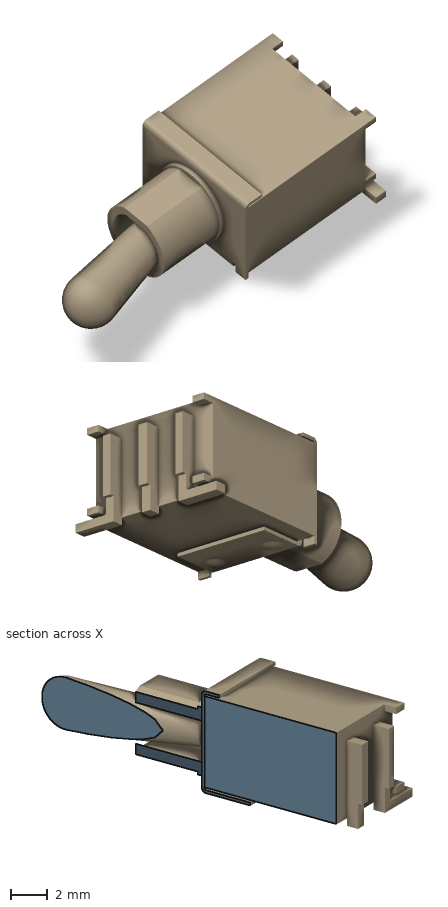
import cadquery as cq
import math


body_width = 8.2
body_top = 2.75
body_bottom = -2.7
body_back = 8.9
leg_width = 0.8
leg_back = 9.68
upper_leg_height = 0.39
lower_leg_top = -1.96
lower_leg_height = 0.4

mount_bottom = -3.15
pin_back = 9.9
pin_top = 1.92
pin_step_z = -1.65
pin_foot_back = 9.64
center_pin_width = 0.6
side_pin_thickness = 0.51
side_pin_outer_x = 2.8
lead_span = 9.9
lead_fillet = 0.15

sheet = 0.2
bend_outer_radius = 0.3
bend_inner_radius = bend_outer_radius - sheet
bracket_top = 3.06
top_tab_length = 1.2
bottom_tab_length = 3.23
bottom_tab_width = 6.09
bottom_tab_z = -3.02
relief_width = 0.27
relief_top = -2.53
dimple_radius = 0.61
dimple_offset_x = 2.0
dimple_y = 1.2

flange_radius = 2.4
flange_thickness = 0.27
bushing_radius = 2.27
bushing_flats = 4.17
bushing_length = 4.33
bore_radius = 1.75
bore_flats = 3.17

lever_tilt = 11.2
ball_radius = 1.57
ball_distance = 7.09
root_radius = 0.92
root_distance = 2.45
tip_y = -10.52
pivot_y = tip_y + ball_radius + ball_distance * math.cos(math.radians(lever_tilt))


def box(x_min, x_max, y_min, y_max, z_min, z_max):
    """Box between the given limits."""
    return cq.Workplane("XY").box(
        x_max - x_min, y_max - y_min, z_max - z_min, centered=False
    ).translate((x_min, y_min, z_min))


def mirrored_pair(shape):
    """The shape together with its mirror image across X = 0."""
    return shape.union(shape.mirror("YZ"))


def make_pin(x_min, x_max):
    """Upright terminal blade, stepped back near its lower end."""
    blade = box(x_min, x_max, body_back, pin_back, pin_step_z, pin_top)
    stem = box(x_min, x_max, body_back, pin_foot_back, mount_bottom, pin_step_z)
    return blade.union(stem)


def make_side_terminal():
    """Left terminal: a blade whose foot turns outward as a mounting lead."""
    lead_top = mount_bottom + side_pin_thickness
    inner_x = -side_pin_outer_x + side_pin_thickness
    blade = make_pin(-side_pin_outer_x, inner_x)
    lead = box(-lead_span / 2, inner_x, body_back, pin_foot_back, mount_bottom, lead_top)
    inside_corner = cq.selectors.NearestToPointSelector(
        (-side_pin_outer_x, (body_back + pin_foot_back) / 2, lead_top)
    )
    return blade.union(lead).edges(inside_corner).fillet(lead_fillet)


def make_housing():
    """Block with four corner legs and three terminals on its back."""
    half_width = body_width / 2
    block = box(-half_width, half_width, sheet, body_back, body_bottom, body_top)
    leg_inner_x = -half_width + leg_width
    upper_leg = box(-half_width, leg_inner_x, body_back, leg_back, body_top - upper_leg_height, body_top)
    lower_leg = box(
        -half_width, leg_inner_x, body_back, leg_back, lower_leg_top - lower_leg_height, lower_leg_top
    )
    center_pin = make_pin(-center_pin_width / 2, center_pin_width / 2)
    return (
        block.union(mirrored_pair(upper_leg))
        .union(mirrored_pair(lower_leg))
        .union(center_pin)
        .union(mirrored_pair(make_side_terminal()))
    )


def make_bent_tab(width, length, height):
    """Upright sheet from Z = 0 to the height, bent back along +Y at the top."""
    flat = box(-width / 2, width / 2, 0, length, 0, height)
    space = box(-width / 2, width / 2, sheet, length, 0, height - sheet)
    return (
        flat.edges("|X and <Y and >Z").fillet(bend_outer_radius)
        .cut(space.edges("|X and <Y and >Z").fillet(bend_inner_radius))
    )


def make_dimple(x):
    """Shallow spherical bump from the bottom tab down to the mounting plane."""
    depth = bottom_tab_z - mount_bottom
    sphere_radius = (dimple_radius**2 + depth**2) / (2 * depth)
    sphere = cq.Workplane("XY").sphere(sphere_radius).translate(
        (x, dimple_y, mount_bottom + sphere_radius)
    )
    slab = box(
        x - dimple_radius, x + dimple_radius, dimple_y - dimple_radius, dimple_y + dimple_radius,
        mount_bottom, bottom_tab_z
    )
    return sphere.intersect(slab)


def make_bracket():
    """Front plate with a top tab, a relieved bottom tab and two dimples."""
    half_width = body_width / 2
    upper = make_bent_tab(body_width, top_tab_length, bracket_top)
    lower_plate = box(-half_width, half_width, 0, sheet, mount_bottom, 0)
    notch_half_width = bottom_tab_width / 2 + relief_width
    notch = box(-notch_half_width, notch_half_width, 0, sheet, mount_bottom, relief_top)
    bottom_tab = make_bent_tab(bottom_tab_width, bottom_tab_length, -bottom_tab_z).mirror("XY")
    bracket = upper.union(lower_plate.cut(notch)).union(bottom_tab)
    for x in (-dimple_offset_x, dimple_offset_x):
        bracket = bracket.union(make_dimple(x))
    return bracket


def make_flatted_rod(radius, across_flats, length):
    """Rod from Y = 0 towards -Y, with flats on its top and bottom."""
    rod = cq.Workplane("XZ").circle(radius).extrude(length)
    return rod.intersect(cq.Workplane("XZ").rect(2 * radius, across_flats).extrude(length))


def make_bushing():
    """Flanged tube with flats outside and in the bore."""
    flange = cq.Workplane("XZ").circle(flange_radius).extrude(flange_thickness)
    tube = make_flatted_rod(bushing_radius, bushing_flats, bushing_length)
    bore = make_flatted_rod(bore_radius, bore_flats, bushing_length)
    return flange.union(tube).cut(bore)


def make_lever():
    """Tilted cone with a ball end, cut flat where it rests on the bracket."""
    profile = (
        cq.Workplane("XY")
        .moveTo(0, root_distance)
        .lineTo(root_radius, root_distance)
        .lineTo(ball_radius, -ball_distance)
        .radiusArc((0, -ball_distance - ball_radius), ball_radius)
        .close()
    )
    lever = (
        profile.revolve(360, (0, 0, 0), (0, 1, 0))
        .rotate((0, 0, 0), (0, 0, 1), lever_tilt)
        .translate((0, pivot_y, 0))
    )
    behind_bracket_face = box(
        -root_distance, root_distance, 0, root_distance, -root_distance, root_distance
    )
    return lever.cut(behind_bracket_face)


housing = make_housing()
bracket = make_bracket()
bushing = make_bushing()
lever = make_lever()

bodies = [housing, bracket, bushing, lever]
result = cq.Compound.makeCompound([body.solids().val() for body in bodies])